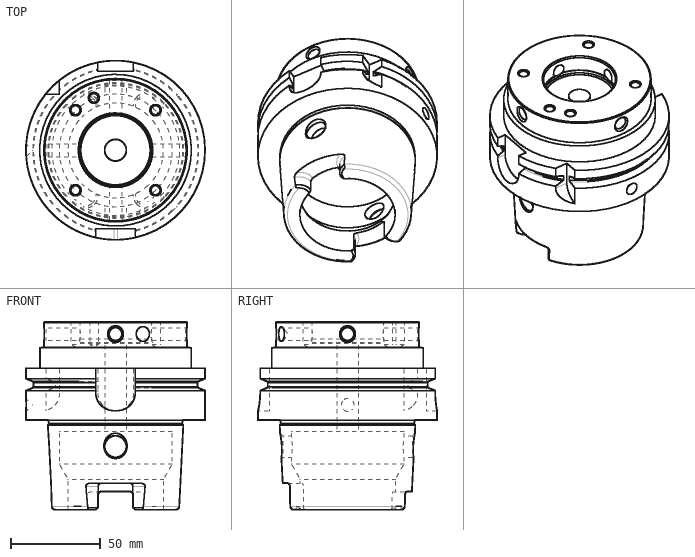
import cadquery as cq
import math


HEAD_TOP = 55.0
HEAD_RADIUS = 40.0
SHOULDER_TOP = 40.8
SHOULDER_DROP = 0.5
SHOULDER_RADIUS = 42.3
FLANGE_TOP = 29.1
FLANGE_RADIUS = 49.98
HEAD_CHAMFER = 0.5

GROOVE_FLOOR_RADIUS = 45.8
GROOVE_MIDDLE = 19.8
GROOVE_FLOOR_HEIGHT = 3.1
GROOVE_MOUTH_HEIGHT = 6.7
GROOVE_FILLET = 0.7

SHANK_BOTTOM = HEAD_TOP - 104.9
TAPER_TOP = -2.7
TAPER_TOP_RADIUS = 37.9
TAPER_SLOPE = 0.05
NECK_RADIUS = 37.3
NECK_TOP = -1.0
NECK_BOTTOM = -2.0
NECK_ROOT_RADIUS = 37.7
TIP_FILLET = 2.0

BORE_RADIUS = 20.0
BORE_FLOOR = 42.8
BORE_RIM_CHAMFER = 0.7
RELIEF_RADIUS = 20.4
RELIEF_TOP = 45.3
RELIEF_BOTTOM = 43.3
BORE_FLOOR_RADIUS = 19.3
CENTRE_HOLE_RADIUS = 6.0

MOUTH_RADIUS = 26.5
CAVITY_RADIUS = 31.5
CAVITY_TOP = -6.3
CLAMP_CONE_TOP = -24.3
CLAMP_CONE_ANGLE = 30

RIM_SLOT_BOTTOM = 5.3
RIM_SLOT_CORNER = 10.0
FRONT_SLOT_WIDTH = 22.0
FRONT_SLOT_FLOOR = 43.7
BACK_SLOT_WIDTH = 2 * RIM_SLOT_CORNER
BACK_SLOT_FLOOR = 44.0
NOTCH_OFFSET = 31.3

DRIVE_HALF_WIDTH = 9.8
DRIVE_ROUND = 7.3
DRIVE_FACE = 32.2
FRONT_DRIVE_ROOF = -35.1
BACK_DRIVE_ROOF = -39.9
DRIVE_ROOF_FILLET = 1.8
DRIVE_CHAMFER = 1.3

RADIAL_HOLE_HEIGHT = 48.0
RADIAL_HOLE_RADIUS = 3.6
RADIAL_HOLE_CHAMFER = 1.0
SHANK_HOLE_HEIGHT = -14.7
SHANK_HOLE_RADIUS = 6.0
HEAD_DIMPLE_RADIUS = 4.14
HEAD_DIMPLE_ANGLE = -67.5
FLANGE_DIMPLE_RADIUS = 3.62
FLANGE_DIMPLE_HEIGHT = 8.7
BOLT_CIRCLE_RADIUS = 31.6
BOLT_HOLE_RADIUS = 2.5
PIN_HOLE_RADIUS = 2.4
PIN_HOLE_ANGLE = 112.5
TOP_HOLE_DEPTH = 12.6
TOP_HOLE_CHAMFER = 0.6
DRILL_POINT_ANGLE = 118

CLEARANCE = 1.0


def taper_radius(z):
    return TAPER_TOP_RADIUS - TAPER_SLOPE * (TAPER_TOP - z)


def revolve(points):
    """Revolve a closed (radius, height) outline around the Z axis."""
    return cq.Workplane("XZ").polyline(points).close().revolve(360, (0, 0), (0, 1))


def body():
    groove_floor_top = GROOVE_MIDDLE + GROOVE_FLOOR_HEIGHT / 2
    groove_floor_bottom = GROOVE_MIDDLE - GROOVE_FLOOR_HEIGHT / 2
    groove_mouth_top = GROOVE_MIDDLE + GROOVE_MOUTH_HEIGHT / 2
    groove_mouth_bottom = GROOVE_MIDDLE - GROOVE_MOUTH_HEIGHT / 2
    blank = revolve([
        (0, HEAD_TOP),
        (HEAD_RADIUS - HEAD_CHAMFER, HEAD_TOP),
        (HEAD_RADIUS, HEAD_TOP - HEAD_CHAMFER),
        (HEAD_RADIUS, SHOULDER_TOP),
        (SHOULDER_RADIUS, SHOULDER_TOP - SHOULDER_DROP),
        (SHOULDER_RADIUS, FLANGE_TOP),
        (FLANGE_RADIUS, FLANGE_TOP),
        (FLANGE_RADIUS, groove_mouth_top),
        (GROOVE_FLOOR_RADIUS, groove_floor_top),
        (GROOVE_FLOOR_RADIUS, groove_floor_bottom),
        (FLANGE_RADIUS, groove_mouth_bottom),
        (FLANGE_RADIUS, 0),
        (NECK_ROOT_RADIUS, 0),
        (NECK_RADIUS, NECK_TOP),
        (NECK_RADIUS, NECK_BOTTOM),
        (TAPER_TOP_RADIUS, TAPER_TOP),
        (taper_radius(SHANK_BOTTOM), SHANK_BOTTOM),
        (0, SHANK_BOTTOM),
    ])
    blank = blank.faces("<Z").edges().fillet(TIP_FILLET)
    groove_corners = blank.edges("%CIRCLE").filter(
        lambda edge: math.isclose(edge.radius(), GROOVE_FLOOR_RADIUS)
    )
    return groove_corners.fillet(GROOVE_FILLET)


def bore():
    return revolve([
        (0, HEAD_TOP),
        (BORE_RADIUS + BORE_RIM_CHAMFER, HEAD_TOP),
        (BORE_RADIUS, HEAD_TOP - BORE_RIM_CHAMFER),
        (BORE_RADIUS, RELIEF_TOP),
        (RELIEF_RADIUS, RELIEF_TOP),
        (RELIEF_RADIUS, RELIEF_BOTTOM),
        (BORE_FLOOR_RADIUS, BORE_FLOOR),
        (CENTRE_HOLE_RADIUS, BORE_FLOOR),
        (CENTRE_HOLE_RADIUS, CAVITY_TOP),
        (0, CAVITY_TOP),
    ])


def clamping_cavity():
    cone_height = (CAVITY_RADIUS - MOUTH_RADIUS) / math.tan(math.radians(CLAMP_CONE_ANGLE))
    return revolve([
        (0, CAVITY_TOP),
        (CAVITY_RADIUS, CAVITY_TOP),
        (CAVITY_RADIUS, CLAMP_CONE_TOP),
        (MOUTH_RADIUS, CLAMP_CONE_TOP - cone_height),
        (MOUTH_RADIUS, SHANK_BOTTOM),
        (0, SHANK_BOTTOM),
    ])


def rim_slot(centre_x, width, floor_y):
    """Slot with rounded lower corners, from a flat floor out past the flange rim."""
    top = FLANGE_TOP
    side = 1 if floor_y > 0 else -1
    half = width / 2
    flat = half - RIM_SLOT_CORNER
    corner_z = RIM_SLOT_BOTTOM + RIM_SLOT_CORNER
    outline = (
        cq.Workplane("XZ", origin=(centre_x, floor_y, 0))
        .moveTo(-half, top)
        .lineTo(-half, corner_z)
        .radiusArc((-flat, RIM_SLOT_BOTTOM), -RIM_SLOT_CORNER)
    )
    if flat > 0:
        outline = outline.lineTo(flat, RIM_SLOT_BOTTOM)
    outline = outline.radiusArc((half, corner_z), -RIM_SLOT_CORNER).lineTo(half, top).close()
    return outline.extrude(-side * FLANGE_RADIUS)


def drive_slot_outline(z):
    """Opening between two rounded prongs."""
    half = DRIVE_HALF_WIDTH
    prong_x = half + DRIVE_ROUND
    prong_y = DRIVE_ROUND - DRIVE_FACE
    outer = FLANGE_RADIUS
    return (
        cq.Workplane("XY", origin=(0, 0, z))
        .moveTo(half, 0)
        .lineTo(half, prong_y)
        .radiusArc((prong_x, -DRIVE_FACE), -DRIVE_ROUND)
        .lineTo(outer, -DRIVE_FACE)
        .lineTo(outer, -outer)
        .lineTo(-outer, -outer)
        .lineTo(-outer, -DRIVE_FACE)
        .lineTo(-prong_x, -DRIVE_FACE)
        .radiusArc((-half, prong_y), -DRIVE_ROUND)
        .lineTo(-half, 0)
        .close()
    )


def drive_slot(roof_z, turn):
    """Slot across one wall of the shank end, with a filleted roof and a flared entry."""
    slot = drive_slot_outline(SHANK_BOTTOM).extrude(roof_z - SHANK_BOTTOM)
    slot = slot.faces(">Z").edges().fillet(DRIVE_ROOF_FILLET)
    flare = drive_slot_outline(SHANK_BOTTOM + DRIVE_CHAMFER).extrude(-DRIVE_CHAMFER, taper=-45)
    return slot.union(flare).rotate((0, 0, 0), (0, 0, 1), turn)


def radial(tool_outline, angle, z):
    """Revolve a (distance from axis, radius) outline about a radial line of the part."""
    return (
        cq.Workplane("XY").polyline(tool_outline).close()
        .revolve(360, (0, 0), (1, 0))
        .rotate((0, 0, 0), (0, 0, 1), angle)
        .translate((0, 0, z))
    )


def radial_hole(radius, surface, angle, z):
    """Hole from the axis out through a wall, chamfered where it leaves the surface."""
    outside = surface + CLEARANCE
    return radial([
        (0, 0),
        (0, radius),
        (surface - RADIAL_HOLE_CHAMFER, radius),
        (outside, radius + RADIAL_HOLE_CHAMFER + CLEARANCE),
        (outside, 0),
    ], angle, z)


def dimple(radius, surface, angle, z):
    """Right-angled conical dimple in a cylindrical surface."""
    return radial([
        (surface - radius, 0),
        (surface + CLEARANCE, radius + CLEARANCE),
        (surface + CLEARANCE, 0),
    ], angle, z)


def top_hole(radius, angle):
    """Chamfered blind hole with a drill point, sunk into the top face."""
    point = radius / math.tan(math.radians(DRILL_POINT_ANGLE / 2))
    bottom = HEAD_TOP - TOP_HOLE_DEPTH
    return revolve([
        (0, HEAD_TOP),
        (radius + TOP_HOLE_CHAMFER, HEAD_TOP),
        (radius, HEAD_TOP - TOP_HOLE_CHAMFER),
        (radius, bottom),
        (0, bottom - point),
    ]).translate((BOLT_CIRCLE_RADIUS, 0, 0)).rotate((0, 0, 0), (0, 0, 1), angle)


part = body().cut(clamping_cavity())
part = part.cut(drive_slot(FRONT_DRIVE_ROOF, 0))
part = part.cut(drive_slot(BACK_DRIVE_ROOF, 180))

part = part.cut(bore())
part = part.cut(rim_slot(0, FRONT_SLOT_WIDTH, -FRONT_SLOT_FLOOR))
part = part.cut(rim_slot(0, BACK_SLOT_WIDTH, BACK_SLOT_FLOOR))
part = part.cut(rim_slot(-NOTCH_OFFSET - RIM_SLOT_CORNER, 2 * RIM_SLOT_CORNER, NOTCH_OFFSET))

for angle in (0, 90, 180, 270):
    part = part.cut(radial_hole(RADIAL_HOLE_RADIUS, HEAD_RADIUS, angle, RADIAL_HOLE_HEIGHT))
    part = part.cut(top_hole(BOLT_HOLE_RADIUS, angle + 45))
part = part.cut(top_hole(PIN_HOLE_RADIUS, PIN_HOLE_ANGLE))
for angle in (90, 270):
    surface = taper_radius(SHANK_HOLE_HEIGHT)
    part = part.cut(radial_hole(SHANK_HOLE_RADIUS, surface, angle, SHANK_HOLE_HEIGHT))
part = part.cut(dimple(HEAD_DIMPLE_RADIUS, HEAD_RADIUS, HEAD_DIMPLE_ANGLE, RADIAL_HOLE_HEIGHT))
part = part.cut(dimple(FLANGE_DIMPLE_RADIUS, FLANGE_RADIUS, 180, FLANGE_DIMPLE_HEIGHT))

result = part